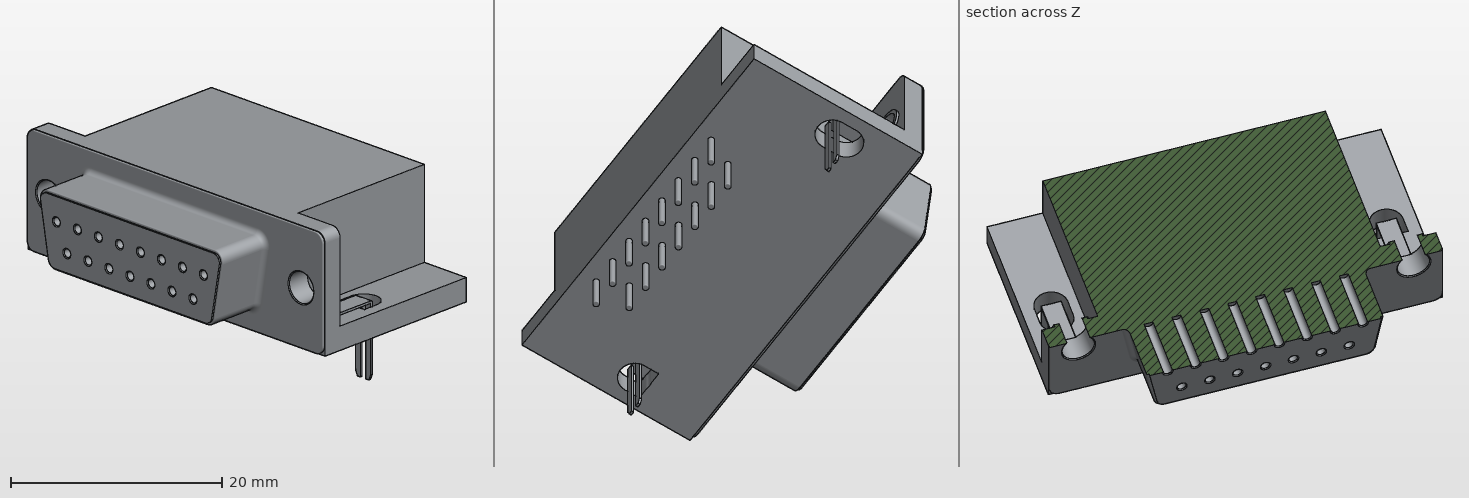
import cadquery as cq
import math


flange_width = 39.16
flange_height = 12.5
flange_depth = 2.3
flange_corner_radius = 1.0
body_width = 28.1
body_depth = 17.2
wing_height = 2.5
housing_back = flange_depth + body_depth

plate_thickness = 0.25
plate_inset = 0.05
plate_edge_fillet = 0.1

shell_length = 6.1
shell_top_width = 24.5
shell_height = 7.9
shell_side_angle = 10
shell_corner_radius = 1.05
shell_base_fillet = 0.6
shell_end_fillet = 0.12

insulator_inset = 0.25
insulator_protrusion = 0.2

mount_spacing = 33.3
mount_hole_diameter = 3.2
mount_z = flange_height / 2

pitch = 2.77
row_spacing = 2.84
upper_count = 8
lower_count = 7
contact_mid_z = 5.95
contact_hole_diameter = 0.85
hole_mouth_chamfer = 0.1
contact_pin_diameter = 0.64
contact_pin_length = 3.9
contact_pin_tip_fillet = 0.1
rear_pin_inset = 1.8

ring_diameter = 4.0
ring_thickness = 0.25
strap_width = 2.0
upright_thickness = 0.35
strap_height = 0.25
bend_radius = 0.2
strap_end_y = 8.7
lock_pin_width = 0.65
lock_pin_thickness = 0.25
lock_pin_length = 5.4
lock_pin_taper_width = 0.25
lock_pin_taper_height = 0.6

slot_width = 3.3
slot_rear_arc_y = 8.55
slot_front_y = 6.95


def box(x_range, y_range, z_range):
    """Box between the given limits."""
    size = [high - low for low, high in (x_range, y_range, z_range)]
    corner = (x_range[0], y_range[0], z_range[0])
    return cq.Workplane("XY").box(*size, centered=False).translate(corner)


def y_cylinder(x, z, diameter, y_start, y_end):
    """Cylinder along +Y."""
    solid = cq.Solid.makeCylinder(
        diameter / 2, y_end - y_start, cq.Vector(x, y_start, z), cq.Vector(0, 1, 0)
    )
    return cq.Workplane(obj=solid)


def row_positions(count):
    """X positions of evenly pitched contacts, centred on X = 0."""
    return [(i - (count - 1) / 2) * pitch for i in range(count)]


def make_housing():
    half_width = flange_width / 2
    flange = box(
        (-half_width, half_width), (plate_thickness, flange_depth), (0, flange_height)
    )
    flange = flange.edges("|Y and >Z").fillet(flange_corner_radius)
    body = box(
        (-body_width / 2, body_width / 2), (plate_thickness, housing_back), (0, flange_height)
    )
    wings = box((-half_width, half_width), (plate_thickness, housing_back), (0, wing_height))
    return flange.union(body).union(wings)


def make_shell():
    """Front plate with the D-shaped nose growing out of it."""
    half_width = flange_width / 2 - plate_inset
    z_range = (plate_inset, flange_height - plate_inset)
    plate = box((-half_width, half_width), (0, plate_thickness), z_range)
    plate = plate.edges("|Y").fillet(flange_corner_radius)
    plate = plate.faces("<Y").edges().fillet(plate_edge_fillet)

    top_half = shell_top_width / 2
    bottom_half = top_half - shell_height * math.tan(math.radians(shell_side_angle))
    top_z = mount_z + shell_height / 2
    bottom_z = mount_z - shell_height / 2
    nose = (
        cq.Workplane("XZ")
        .polyline(
            [(-top_half, top_z), (top_half, top_z), (bottom_half, bottom_z), (-bottom_half, bottom_z)]
        )
        .close()
        .extrude(shell_length - insulator_protrusion)
        .edges("|Y")
        .fillet(shell_corner_radius)
    )
    insulator = (
        nose.faces("<Y")
        .wires()
        .toPending()
        .offset2D(-insulator_inset)
        .extrude(insulator_protrusion, combine=False)
    )
    nose = nose.faces("<Y").edges().fillet(shell_end_fillet).union(insulator)

    root_half_width = top_half + shell_base_fillet / 2
    root = cq.selectors.BoxSelector(
        (-root_half_width, -plate_edge_fillet / 2, bottom_z - shell_base_fillet),
        (root_half_width, plate_edge_fillet / 2, top_z + shell_base_fillet),
    )
    return plate.union(nose).edges(root).fillet(shell_base_fillet)


def make_chamfered_hole(x, z, diameter, y_front, y_end):
    """Cutter for a hole along +Y with a chamfered mouth at y_front."""
    mouth = cq.Solid.makeCone(
        diameter / 2 + hole_mouth_chamfer,
        diameter / 2,
        hole_mouth_chamfer,
        cq.Vector(x, y_front, z),
        cq.Vector(0, 1, 0),
    )
    return y_cylinder(x, z, diameter, y_front, y_end).union(cq.Workplane(obj=mouth))


def make_slot(x, front_is_round):
    """Cutter for a wing slot: round rear end, round or square front end."""
    half_width = slot_width / 2
    slot = box((x - half_width, x + half_width), (slot_front_y, slot_rear_arc_y), (0, wing_height))
    round_ends = [slot_rear_arc_y]
    if front_is_round:
        round_ends.append(slot_front_y)
    for y in round_ends:
        slot = slot.union(cq.Workplane("XY").center(x, y).circle(half_width).extrude(wing_height))
    return slot


def make_contact_pin(x, y):
    """Round solder pin under the housing."""
    pin = cq.Workplane("XY").center(x, y).circle(contact_pin_diameter / 2).extrude(-contact_pin_length)
    return pin.faces("<Z").edges().fillet(contact_pin_tip_fillet)


def make_lock_pin(x, side):
    """Flat board-lock leg, tapered on its outer edge (side = -1 left, +1 right)."""
    leg_top = wing_height + strap_height / 2
    outer = x + side * strap_width / 2
    inner = outer - side * lock_pin_width
    tip = -lock_pin_length
    return (
        cq.Workplane("XZ", origin=(0, strap_end_y, 0))
        .moveTo(inner, leg_top)
        .lineTo(outer, leg_top)
        .lineTo(outer, tip + lock_pin_taper_height)
        .lineTo(outer - side * lock_pin_taper_width, tip)
        .lineTo(inner, tip)
        .close()
        .extrude(lock_pin_thickness)
    )


def make_bracket(x):
    """Ring behind the flange, strap down and along the wing, two legs through the slot."""
    x_range = (x - strap_width / 2, x + strap_width / 2)
    strap_top = wing_height + strap_height
    ring = y_cylinder(x, mount_z, ring_diameter, flange_depth, flange_depth + ring_thickness)
    ring_joint_z = mount_z - math.sqrt(ring_diameter**2 - strap_width**2) / 2
    upright = box(x_range, (flange_depth, flange_depth + upright_thickness), (wing_height, ring_joint_z))
    strap = box(x_range, (flange_depth, strap_end_y), (wing_height, strap_top))
    strap = strap.edges(">Y and >Z").fillet(bend_radius)
    bracket = ring.union(upright).union(strap)
    for side in (-1, 1):
        bracket = bracket.union(make_lock_pin(x, side))
    return bracket


connector = make_housing().union(make_shell())

socket_end = 0
rear_pin_y = housing_back - rear_pin_inset
contact_rows = [
    (upper_count, contact_mid_z + row_spacing / 2, rear_pin_y),
    (lower_count, contact_mid_z - row_spacing / 2, rear_pin_y - row_spacing),
]
for count, socket_z, pin_y in contact_rows:
    for contact_x in row_positions(count):
        socket = make_chamfered_hole(
            contact_x, socket_z, contact_hole_diameter, -shell_length, socket_end
        )
        connector = connector.cut(socket).union(make_contact_pin(contact_x, pin_y))

mount_hole_end = flange_depth + ring_thickness

for mount_side in (-1, 1):
    mount_x = mount_side * mount_spacing / 2
    connector = connector.cut(make_slot(mount_x, front_is_round=mount_side < 0))
    connector = connector.union(make_bracket(mount_x))
    connector = connector.cut(
        make_chamfered_hole(mount_x, mount_z, mount_hole_diameter, 0, mount_hole_end)
    )

result = connector